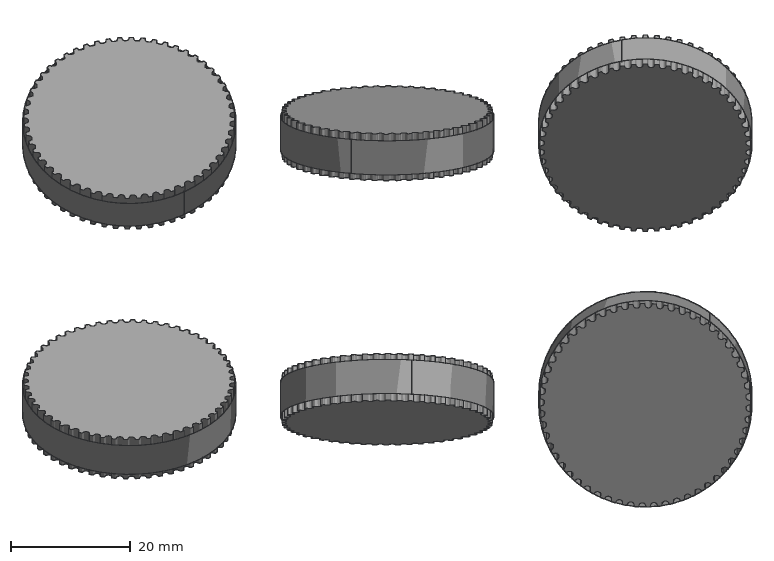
import cadquery as cq
import math

height = 8.0
sleeve_diameter = 35.65
sleeve_wall = 0.05
web_width = 0.1
band_height = 1.07
tooth_count = 56
tip_diameter = 35.15
groove_depth = 0.75
flank_radius = 1.0
flank_offset = 0.4
tip_round = 0.15

sleeve_height = height - 2 * band_height
tip_radius = tip_diameter / 2
pitch_angle = 2 * math.pi / tooth_count
floor_radius = (flank_radius**2 - flank_offset**2 - groove_depth**2) / (2 * (flank_radius - groove_depth))


def point_on_arc(center, toward, radius):
    """Point at the given radius from center, in the direction of another point."""
    direction = (toward - center).normalized()
    return center + direction * radius


def middle_of_arc(center, start, end, radius):
    """Middle point of the shorter arc between two points."""
    return point_on_arc(center, (start + end) * 0.5, radius)


def groove_half():
    """Right half of a groove centred on +Y, as points from the floor out to the tip circle."""
    flank_center = cq.Vector(-flank_offset, tip_radius)
    floor_center = cq.Vector(0, tip_radius - groove_depth + floor_radius)

    round_distance = tip_radius - tip_round
    flank_distance = flank_radius + tip_round
    center_distance = flank_center.Length
    cosine = (round_distance**2 + center_distance**2 - flank_distance**2) / (
        2 * round_distance * center_distance
    )
    round_angle = math.acos(cosine) - math.atan2(flank_offset, tip_radius)
    round_direction = cq.Vector(math.sin(round_angle), math.cos(round_angle))
    round_center = round_direction * round_distance

    flank_start = point_on_arc(flank_center, floor_center, flank_radius)
    flank_end = point_on_arc(flank_center, round_center, flank_radius)
    tip_start = round_direction * tip_radius
    return [
        flank_start,
        middle_of_arc(flank_center, flank_start, flank_end, flank_radius),
        flank_end,
        middle_of_arc(round_center, flank_end, tip_start, tip_round),
        tip_start,
    ]


def turned(point, angle):
    """Point turned clockwise about the part axis."""
    x = point.x * math.cos(angle) + point.y * math.sin(angle)
    y = point.y * math.cos(angle) - point.x * math.sin(angle)
    return (x, y)


def toothed_outline():
    """Closed outline of all teeth, going clockwise from groove to groove."""
    right_half = groove_half()
    left_half = [cq.Vector(-point.x, point.y) for point in reversed(right_half)]
    groove_floor = cq.Vector(0, tip_radius - groove_depth)
    tip_top = cq.Vector(0, tip_radius)
    groove = left_half + [groove_floor] + right_half

    outline = cq.Workplane("XY").moveTo(*turned(groove[0], pitch_angle / 2))
    for tooth in range(tooth_count):
        angle = (tooth + 0.5) * pitch_angle
        next_angle = angle + pitch_angle
        for middle, end in zip(groove[1::2], groove[2::2]):
            outline = outline.threePointArc(turned(middle, angle), turned(end, angle))
        tip_middle = turned(tip_top, angle + pitch_angle / 2)
        outline = outline.threePointArc(tip_middle, turned(groove[0], next_angle))
    return outline.close()


def sleeve():
    """Thin plain tube around the middle of the teeth, open along every groove."""
    return (
        cq.Workplane("XY")
        .workplane(offset=band_height)
        .circle(sleeve_diameter / 2)
        .circle(sleeve_diameter / 2 - sleeve_wall)
        .extrude(sleeve_height)
    )


def webs():
    """Narrow radial webs that join the sleeve to the teeth on the +X and +Y axes."""
    web_start = tip_radius - groove_depth
    web_length = (sleeve_diameter - sleeve_wall) / 2 - web_start
    web_middle = web_start + web_length / 2
    web_plane = cq.Workplane("XY").workplane(offset=band_height)
    x_web = web_plane.center(web_middle, 0).rect(web_length, web_width).extrude(sleeve_height)
    y_web = web_plane.center(0, web_middle).rect(web_width, web_length).extrude(sleeve_height)
    return x_web.union(y_web)


toothed_core = toothed_outline().extrude(height)

result = toothed_core.union(webs()).union(sleeve())